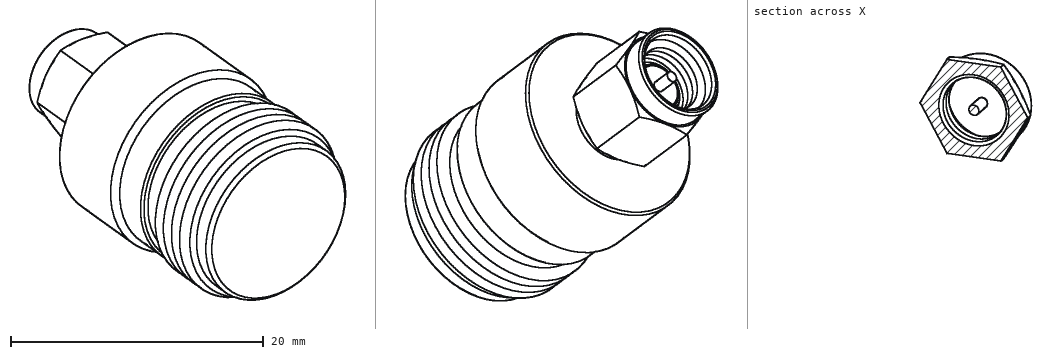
import cadquery as cq
import math


nut_front = 1.9
nut_back = 8.4
body_front = 9.6
collar_front = 17.1
relief_front = 20.05
thread_front = 21.7
overall_length = 28.1

body_diameter = 16.0
nose_radius = 3.85
neck_radius = 3.2
body_radius = body_diameter / 2
collar_radius = 7.47
jack_radius = 6.88

edge_chamfer = 0.2
jack_end_chamfer = 0.35

nut_across_flats = 7.98
nut_sides = 6
nut_chamfer_angle = 30.0

thread_pitch = 1.07
thread_count = 4
thread_crest_radius = 7.75
runout_width = 0.55
runout_crest_radius = 7.33

bore_radius = 3.25
mouth_chamfer = 0.22
inner_thread_front = 1.07
inner_thread_pitch = 0.65
inner_thread_count = 4
inner_crest_radius = 2.7
socket_depth = inner_thread_front + (inner_thread_count - 0.5) * inner_thread_pitch

shoulder_radius = 2.28
shoulder_height = 0.15
insulator_radius = 2.0
insulator_front = 2.87
insulator_chamfer_height = 0.17
insulator_chamfer_length = 0.1
pin_radius = 0.45
pin_front = 0.67
pin_tip_length = 0.4


def revolve_profile(points):
    """Revolve a closed (x, radius) outline about the X axis."""
    return cq.Workplane("XY").polyline(points).close().revolve(360, (0, 0, 0), (1, 0, 0))


def thread_ridges(front, pitch, count, root, crest):
    """Outline points of a row of triangular ridges, without the first root point."""
    points = []
    for i in range(count):
        start = front + i * pitch
        points.append((start + pitch / 2, crest))
        points.append((start + pitch, root))
    return points


def make_shell():
    """Nose, neck, body and threaded jack as one turned piece."""
    body_step = body_radius - collar_radius
    points = [
        (0, 0),
        (0, nose_radius - edge_chamfer),
        (edge_chamfer, nose_radius),
        (nut_front, nose_radius),
        (nut_front, neck_radius),
        (body_front, neck_radius),
        (body_front, body_radius - edge_chamfer),
        (body_front + edge_chamfer, body_radius),
        (collar_front - body_step, body_radius),
        (collar_front, collar_radius),
        (relief_front - edge_chamfer, collar_radius),
        (relief_front, collar_radius - edge_chamfer),
        (relief_front, jack_radius),
        (thread_front, jack_radius),
    ]
    points += thread_ridges(thread_front, thread_pitch, thread_count, jack_radius, thread_crest_radius)
    runout_front = thread_front + thread_count * thread_pitch
    points += thread_ridges(runout_front, runout_width, 1, jack_radius, runout_crest_radius)
    points += [
        (overall_length - jack_end_chamfer, jack_radius),
        (overall_length, jack_radius - jack_end_chamfer),
        (overall_length, 0),
    ]
    return revolve_profile(points)


def make_nut():
    """Hex nut with corners along Y, chamfered conically at both ends."""
    flat_radius = nut_across_flats / 2
    corner_radius = flat_radius / math.cos(math.pi / nut_sides)
    chamfer_length = (corner_radius - flat_radius) * math.tan(math.radians(nut_chamfer_angle))
    hexagon = (
        cq.Workplane("YZ", origin=(nut_front, 0, 0))
        .polygon(nut_sides, 2 * corner_radius)
        .extrude(nut_back - nut_front)
    )
    envelope = revolve_profile([
        (nut_front, 0),
        (nut_front, flat_radius),
        (nut_front + chamfer_length, corner_radius),
        (nut_back - chamfer_length, corner_radius),
        (nut_back, flat_radius),
        (nut_back, 0),
    ])
    return hexagon.intersect(envelope)


def make_socket():
    """Volume removed from the plug: chamfered mouth, bore and internal thread rings."""
    points = [
        (0, 0),
        (0, bore_radius + mouth_chamfer),
        (mouth_chamfer, bore_radius),
        (inner_thread_front, bore_radius),
    ]
    ridges = thread_ridges(
        inner_thread_front, inner_thread_pitch, inner_thread_count, bore_radius, inner_crest_radius
    )
    points += ridges[:-1]
    points.append((socket_depth, 0))
    return revolve_profile(points)


def make_contact():
    """Shoulder, chamfered insulator and pointed centre pin standing on the socket floor."""
    shoulder_front = socket_depth - shoulder_height
    return revolve_profile([
        (pin_front, 0),
        (pin_front + pin_tip_length, pin_radius),
        (insulator_front, pin_radius),
        (insulator_front, insulator_radius - insulator_chamfer_height),
        (insulator_front + insulator_chamfer_length, insulator_radius),
        (shoulder_front, insulator_radius),
        (shoulder_front, shoulder_radius),
        (nut_back, shoulder_radius),
        (nut_back, 0),
    ])


result = make_shell().union(make_nut()).cut(make_socket()).union(make_contact())